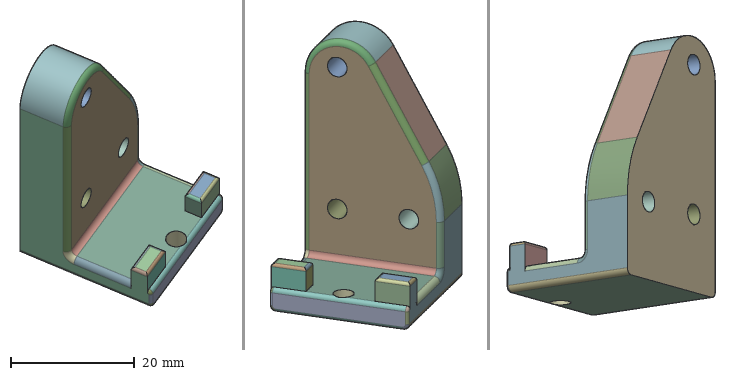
import cadquery as cq
import math

length = 24.35
width = 24.05
height = 42.25
wall_thickness = 9.0
floor_thickness = 4.0

top_radius = 6.5
shoulder_radius = 20.0
slope_angle = math.radians(30)
edge_radius = 1.0

hole_diameter = 3.4
hole_edge_y = 5.88
hole_spacing_y = 12.4
hole_low_z = 12.9
hole_spacing_z = 24.73
floor_hole_x = 22.25

post_start_x = 20.55
post_width = 6.05
post_top_z = 8.0
post_round = 0.5
end_top_round = 0.75
end_side_round = 0.5
post_end_x = length - end_top_round


def outline():
    """Wall outline in the YZ plane: square foot, long shoulder, sloping edge and round top."""
    top_center_z = height - top_radius

    def top_point(angle):
        return (
            top_radius + top_radius * math.cos(angle),
            top_center_z + top_radius * math.sin(angle),
        )

    slope_top = top_point(slope_angle)
    shoulder_y = width - shoulder_radius * (1 - math.cos(slope_angle))
    shoulder_z = slope_top[1] - (shoulder_y - slope_top[0]) / math.tan(slope_angle)
    shoulder_base_z = shoulder_z - shoulder_radius * math.sin(slope_angle)
    shoulder_mid = (
        width - shoulder_radius * (1 - math.cos(slope_angle / 2)),
        shoulder_base_z + shoulder_radius * math.sin(slope_angle / 2),
    )
    return (
        cq.Workplane("YZ")
        .moveTo(0, 0)
        .lineTo(width, 0)
        .lineTo(width, shoulder_base_z)
        .threePointArc(shoulder_mid, (shoulder_y, shoulder_z))
        .lineTo(*slope_top)
        .threePointArc(top_point((slope_angle + math.pi) / 2), (0, top_center_z))
        .close()
    )


def block(x_start, x_end, y_start, y_end, z_start, z_end):
    size = (x_end - x_start, y_end - y_start, z_end - z_start)
    return cq.Workplane("XY").box(*size, centered=False).translate((x_start, y_start, z_start))


def bracket(envelope):
    """Wall and floor, with a round inner corner and rounded inner rims."""
    clearance = block(wall_thickness, length, 0, width, floor_thickness, height)
    clearance = clearance.edges("|Y and <X and <Z").fillet(edge_radius)
    body = envelope.cut(clearance)

    rim_start = cq.selectors.NearestToPointSelector((length / 2, 0, floor_thickness))
    return body.edges(rim_start).fillet(edge_radius)


def floor_end(envelope):
    """Free end of the floor, square beside the posts and rounded on its end face."""
    end = block(post_start_x, length, 0, width, 0, floor_thickness)
    end = end.intersect(envelope)
    top_edge = end.faces(">X").edges(">Z")
    end = top_edge.fillet(end_top_round)
    side_edges = end.faces(">X").edges("not >Z")
    return side_edges.fillet(end_side_round)


def post(y_start):
    body = block(post_start_x, post_end_x, y_start, y_start + post_width, floor_thickness / 2, post_top_z)
    return body.faces(">Z").edges().fillet(post_round)


def wall_holes():
    far_y = hole_edge_y + hole_spacing_y
    centers = [
        (hole_edge_y, hole_low_z),
        (far_y, hole_low_z),
        (hole_edge_y, hole_low_z + hole_spacing_z),
    ]
    return cq.Workplane("YZ").pushPoints(centers).circle(hole_diameter / 2).extrude(wall_thickness)


def floor_hole():
    center = cq.Workplane("XY").center(floor_hole_x, width / 2)
    return center.circle(hole_diameter / 2).extrude(floor_thickness)


envelope = outline().extrude(length).edges("|X and <Z").fillet(edge_radius)
result = bracket(envelope).cut(block(post_start_x, length, 0, width, 0, height))
result = result.union(floor_end(envelope))
for post_y in (0, width - post_width):
    result = result.union(post(post_y))
result = result.cut(wall_holes()).cut(floor_hole())